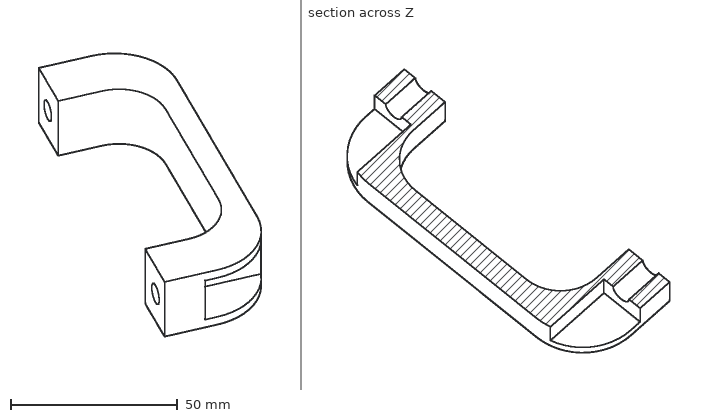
import cadquery as cq

length = 110.0
depth = 37.0
height = 21.0

leg_width = 17.0
grip_thickness = 8.0
outer_radius = 20.0
inner_radius = 15.0

seat_height = 15.0
seat_reach = 15.0
foot_length = 13.0
hole_diameter = 6.5
hole_inset = 7.9


def block(x_size, y_size, z_size):
    """Box centred on X and Z, starting at Y = 0."""
    return cq.Workplane("XY").box(x_size, y_size, z_size, centered=(True, False, True))


def make_bow():
    """U-shaped handle with its feet on Y = 0 and rounded corners."""
    outer = block(length, depth, height).edges("|Z and >Y").fillet(outer_radius)
    opening = block(length - 2 * leg_width, depth - grip_thickness, height)
    opening = opening.edges("|Z and >Y").fillet(inner_radius)
    return outer.cut(opening)


def make_seat(side):
    """Material removed from one corner: screw seat plus screw hole."""
    pocket = block(seat_reach, depth - foot_length, seat_height)
    pocket = pocket.translate((side * (length - seat_reach) / 2, foot_length, 0))
    hole = cq.Workplane("XZ").circle(hole_diameter / 2).extrude(-depth)
    hole = hole.translate((side * (length / 2 - hole_inset), 0, 0))
    return pocket.union(hole)


result = make_bow()
for side in (-1, 1):
    result = result.cut(make_seat(side))